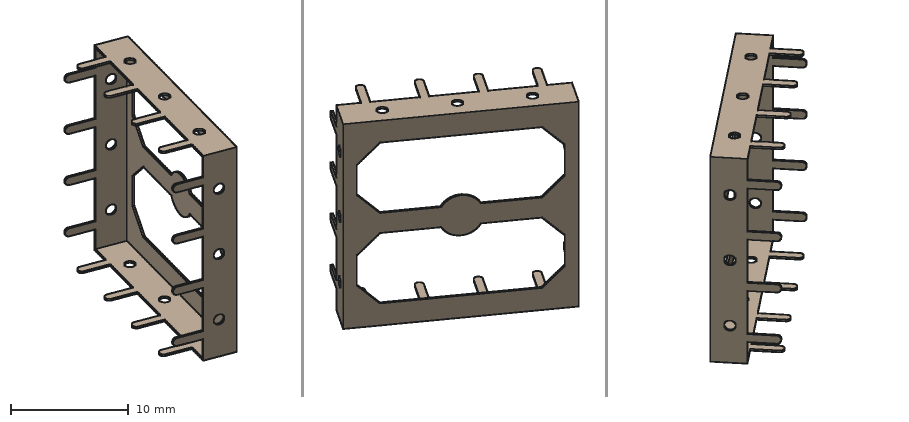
import cadquery as cq

side = 20.4
sheet = 0.2
wall_depth = 3.2
total_depth = 6.1

window_length = 18.0
window_outer_edge = 8.0
crossbar_width = 2.0
window_corner = 2.0
pad_diameter = 4.0

hole_diameter = 1.0
hole_pitch = 6.5
holes_per_wall = 3
hole_from_floor = 1.7
pin_width = 0.8
pins_per_wall = 4
pin_pitch = side / pins_per_wall

floor_y = total_depth / 2
rim_y = floor_y - wall_depth
pin_tip_y = floor_y - total_depth
hole_y = floor_y - hole_from_floor


def spaced(count, pitch):
    """Positions of evenly spaced items, centred on zero."""
    return [(i - (count - 1) / 2) * pitch for i in range(count)]


def around_walls(top_feature):
    """Repeat a feature of the +Z wall on all four walls."""
    features = top_feature
    for angle in (90, 180, 270):
        features = features.union(top_feature.rotate((0, 0, 0), (0, 1, 0), angle))
    return features


def tray():
    inner_side = side - 2 * sheet
    shell = cq.Workplane("XZ", origin=(0, floor_y, 0)).rect(side, side).extrude(wall_depth)
    cavity = (
        cq.Workplane("XZ", origin=(0, floor_y - sheet, 0))
        .rect(inner_side, inner_side)
        .extrude(wall_depth)
    )
    return shell.cut(cavity)


def floor_windows():
    window_height = window_outer_edge - crossbar_width / 2
    window_centre = (window_outer_edge + crossbar_width / 2) / 2
    floor_plane = cq.Workplane("XZ", origin=(0, floor_y, 0))
    windows = (
        floor_plane.pushPoints([(0, -window_centre), (0, window_centre)])
        .rect(window_length, window_height)
        .extrude(sheet)
        .edges("|Y")
        .chamfer(window_corner)
    )
    pad = floor_plane.circle(pad_diameter / 2).extrude(sheet)
    return windows.cut(pad)


def top_wall_plane():
    return cq.Workplane("XY", origin=(0, 0, side / 2 - sheet))


def top_wall_pins():
    tip_radius = pin_width / 2
    shoulder_y = pin_tip_y + tip_radius
    pin = (
        top_wall_plane()
        .moveTo(-tip_radius, rim_y + sheet)
        .lineTo(-tip_radius, shoulder_y)
        .threePointArc((0, pin_tip_y), (tip_radius, shoulder_y))
        .lineTo(tip_radius, rim_y + sheet)
        .close()
        .extrude(sheet)
    )
    pins = cq.Workplane("XY")
    for x in spaced(pins_per_wall, pin_pitch):
        pins = pins.union(pin.translate((x, 0, 0)))
    return pins


def top_wall_holes():
    centres = [(x, hole_y) for x in spaced(holes_per_wall, hole_pitch)]
    return top_wall_plane().pushPoints(centres).circle(hole_diameter / 2).extrude(sheet)


result = (
    tray()
    .cut(floor_windows())
    .union(around_walls(top_wall_pins()))
    .cut(around_walls(top_wall_holes()))
)